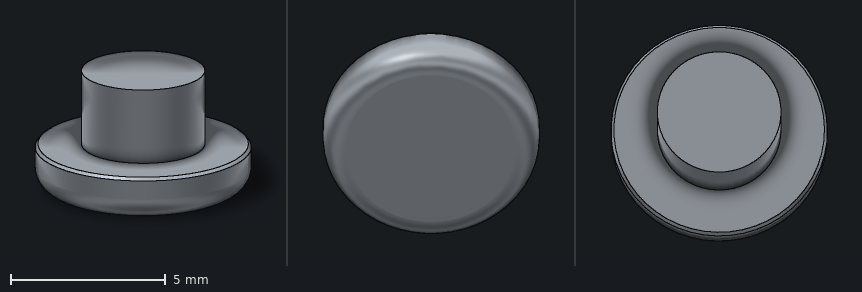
import cadquery as cq

head_diameter = 7.0
stem_diameter = 4.0
total_height = 4.0
head_height = 1.5
bottom_fillet = 0.75
top_chamfer = 0.1

stem_height = total_height - head_height

head = cq.Workplane("XY").circle(head_diameter / 2).extrude(head_height)
head = head.faces("<Z").edges().fillet(bottom_fillet)
head = head.faces(">Z").edges().chamfer(top_chamfer)

result = head.faces(">Z").workplane().circle(stem_diameter / 2).extrude(stem_height)